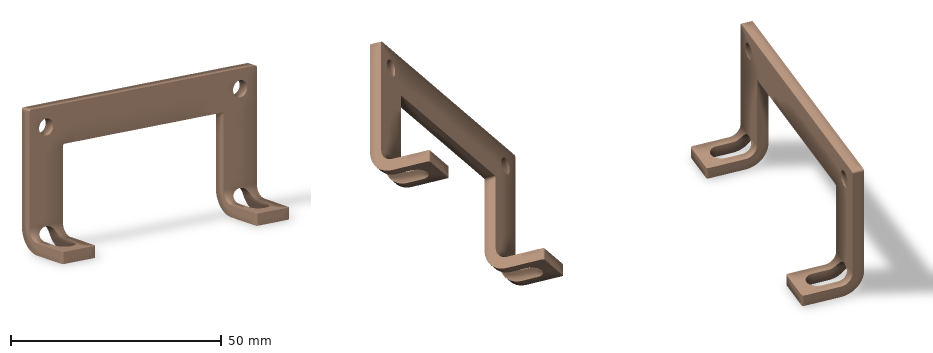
import cadquery as cq

length = 68.0
depth = 16.0
height = 35.2
thickness = 3.0
inner_bend_radius = thickness
outer_bend_radius = inner_bend_radius + thickness
leg_width = 10.0
corner_radius = 0.5
hole_diameter = 4.2
slot_width = 5.3
slot_far_x = 12.8
slot_top_z = 5.8

slot_radius = slot_width / 2
leg_center_y = (length - leg_width) / 2
leg_centers = (-leg_center_y, leg_center_y)
window_width = length - 2 * leg_width
window_top_z = height - leg_width


def bent_sheet():
    """L-shaped sheet with a rounded bend, extruded along the full length."""
    profile = (
        cq.Workplane("XZ")
        .moveTo(0, height)
        .lineTo(0, outer_bend_radius)
        .radiusArc((outer_bend_radius, 0), -outer_bend_radius)
        .lineTo(depth, 0)
        .lineTo(depth, thickness)
        .lineTo(outer_bend_radius, thickness)
        .radiusArc((thickness, outer_bend_radius), inner_bend_radius)
        .lineTo(thickness, height)
        .close()
    )
    return profile.extrude(length / 2, both=True)


def window():
    """Opening between the legs, with rounded upper corners."""
    block = cq.Workplane("XY").box(depth, window_width, window_top_z, centered=(False, True, False))
    return block.edges("|X and >Z").fillet(corner_radius)


def mounting_hole(y):
    """Round hole through the upright, centred in the upper corner of a leg."""
    return (
        cq.Workplane("YZ")
        .center(y, height - leg_width / 2)
        .circle(hole_diameter / 2)
        .extrude(thickness)
    )


def bend_slot(y):
    """Slot that runs along the foot and up through the bend, rounded at both ends."""
    foot_end_x = slot_far_x - slot_radius
    arch_center_z = slot_top_z - slot_radius
    foot_cut = (
        cq.Workplane("XY")
        .moveTo(outer_bend_radius, y - slot_radius)
        .lineTo(foot_end_x, y - slot_radius)
        .threePointArc((slot_far_x, y), (foot_end_x, y + slot_radius))
        .lineTo(outer_bend_radius, y + slot_radius)
        .close()
        .extrude(thickness)
    )
    bend_cut = (
        cq.Workplane("YZ")
        .moveTo(y - slot_radius, 0)
        .lineTo(y - slot_radius, arch_center_z)
        .threePointArc((y, slot_top_z), (y + slot_radius, arch_center_z))
        .lineTo(y + slot_radius, 0)
        .close()
        .extrude(outer_bend_radius)
    )
    return foot_cut.union(bend_cut)


result = bent_sheet().cut(window())
result = result.faces(">Z").edges("|X").fillet(corner_radius)
result = result.faces(">X").edges("|Z").fillet(corner_radius)
for leg_y in leg_centers:
    result = result.cut(mounting_hole(leg_y))
    result = result.cut(bend_slot(leg_y))